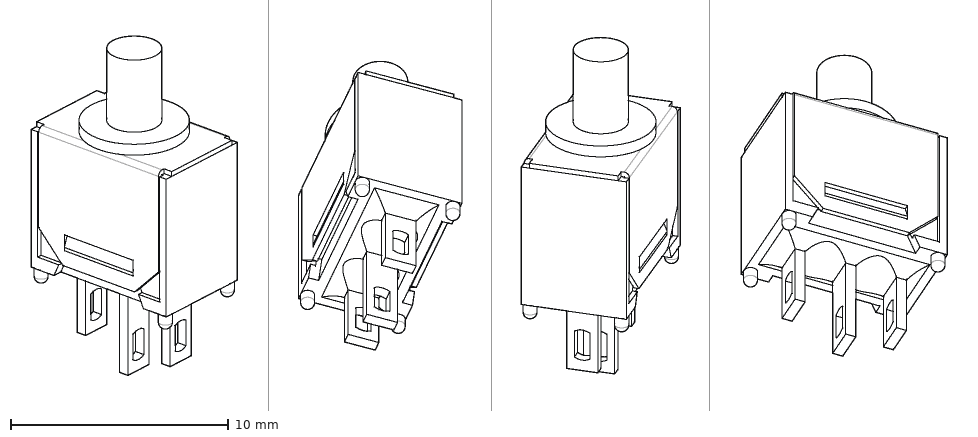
import cadquery as cq

body_length = 8.13
body_width = 5.08
housing_height = 7.05

sheet = 0.25
cover_top = housing_height + sheet
skirt_width = 7.22
skirt_bottom = 0.69
skirt_chamfer_width = 1.45
skirt_chamfer_height = 1.48
corner_notch_depth = 0.4

recess_width = 7.35
recess_bottom = 0.64

slot_width = 4.13
slot_bottom = 1.48
slot_top = 2.28
wedge_crest = 1.64

opening_depth = 0.5
opening_height = 0.98
opening_bottom_width = 5.38
opening_top_width = 4.5

standoff_diameter = 0.65
standoff_length = 0.8

flange_diameter = 5.08
flange_height = 0.55
plunger_diameter = 2.55
plunger_top = 11.55

terminal_pitch = 2.55
terminal_thickness = 0.51
terminal_width = 1.51
terminal_embed = 0.5
outer_terminal_tip = -3.6
centre_terminal_tip = outer_terminal_tip - 1.25
eye_width = 0.75
eye_length = 1.54
eye_to_tip = 0.54
eye_end_rise = 0.11

seal_drop = 0.57
seal_reach = 0.82
seal_arc_mid_out = 0.36
seal_arc_mid_drop = 0.23
seal_arch_drop = 0.1


def box(length, width, bottom, top):
    """Block centred on X and Y between two heights."""
    return cq.Workplane("XY").workplane(offset=bottom).rect(length, width).extrude(top - bottom)


def cylinder(diameter, bottom, top):
    """Round bar on the Z axis between two heights."""
    return cq.Workplane("XY").workplane(offset=bottom).circle(diameter / 2).extrude(top - bottom)


def both_sides(front):
    """A front feature together with its mirror image at the back."""
    return front.union(front.mirror("XZ"))


def terminal_pocket(x):
    """Block that a terminal fills where it sits in the housing and its seal."""
    return box(terminal_thickness, terminal_width, -seal_drop, terminal_embed).translate((x, 0, 0))


def skirt_recess():
    depth_middle = (body_width - sheet) / 2
    return box(recess_width, sheet, recess_bottom, housing_height).translate((0, -depth_middle, 0))


def snap_wedge():
    """Ramp that leans out from the recess floor to the outer face of the cover."""
    face = -body_width / 2
    return (
        cq.Workplane("YZ")
        .moveTo(face + sheet, slot_top)
        .lineTo(face, wedge_crest)
        .lineTo(face, slot_bottom)
        .lineTo(face + sheet, slot_bottom)
        .close()
        .extrude(slot_width / 2, both=True)
    )


def wall_opening():
    return (
        cq.Workplane("XZ", origin=(0, -body_width / 2, 0))
        .moveTo(-opening_bottom_width / 2, 0)
        .lineTo(opening_bottom_width / 2, 0)
        .lineTo(opening_top_width / 2, opening_height)
        .lineTo(-opening_top_width / 2, opening_height)
        .close()
        .extrude(-opening_depth)
    )


def standoff(x, y):
    """Round pin with a hemispherical end."""
    radius = standoff_diameter / 2
    dome_centre = radius - standoff_length
    dome = cq.Workplane("XY").sphere(radius).translate((0, 0, dome_centre))
    return cylinder(standoff_diameter, dome_centre, 0).union(dome).translate((x, y, 0))


def seal():
    """Meniscus: a long profile with arches between the terminals, trimmed by a cross profile."""
    half_thickness = terminal_thickness / 2
    half_width = terminal_width / 2
    outer_edge = terminal_pitch + half_thickness

    along = (
        cq.Workplane("XZ")
        .moveTo(-outer_edge - seal_reach, 0)
        .threePointArc((-outer_edge - seal_arc_mid_out, -seal_arc_mid_drop), (-outer_edge, -seal_drop))
    )
    for left in (-terminal_pitch, 0):
        along = (
            along.lineTo(left + half_thickness, -seal_drop)
            .threePointArc(
                (left + terminal_pitch / 2, -seal_arch_drop),
                (left + terminal_pitch - half_thickness, -seal_drop),
            )
        )
    along = (
        along.lineTo(outer_edge, -seal_drop)
        .threePointArc((outer_edge + seal_arc_mid_out, -seal_arc_mid_drop), (outer_edge + seal_reach, 0))
        .close()
        .extrude(body_width / 2, both=True)
    )
    across = (
        cq.Workplane("YZ")
        .moveTo(-half_width - seal_reach, 0)
        .threePointArc((-half_width - seal_arc_mid_out, -seal_arc_mid_drop), (-half_width, -seal_drop))
        .lineTo(half_width, -seal_drop)
        .threePointArc((half_width + seal_arc_mid_out, -seal_arc_mid_drop), (half_width + seal_reach, 0))
        .close()
        .extrude(body_length / 2, both=True)
    )
    return along.intersect(across)


def button():
    """Plunger stem that rises from the housing through the cover, with its flange."""
    plunger = cylinder(plunger_diameter, housing_height, plunger_top)
    flange = cylinder(flange_diameter, cover_top, cover_top + flange_height)
    return plunger.union(flange)


def make_housing():
    """Housing with its snap wedges, seal, standoffs and button, pierced for the terminals."""
    housing = box(body_length, body_width, 0, housing_height)
    housing = housing.cut(both_sides(skirt_recess()))
    housing = housing.cut(both_sides(wall_opening()))
    housing = housing.union(both_sides(snap_wedge()))
    housing = housing.union(seal())
    housing = housing.union(button())
    standoff_x = (body_length - standoff_diameter) / 2
    standoff_y = (body_width - standoff_diameter) / 2
    for x in (-standoff_x, standoff_x):
        for y in (-standoff_y, standoff_y):
            housing = housing.union(standoff(x, y))
    for x in terminal_tips:
        housing = housing.cut(terminal_pocket(x))
    return housing


def make_cover():
    """Bent sheet cover with a hole for the plunger stem."""
    cover = box(body_length, body_width, skirt_bottom, cover_top)
    cover = cover.edges("|X and >Z").fillet(sheet)
    cover = cover.cut(box(body_length, body_width - 2 * sheet, skirt_bottom, housing_height))

    side_width = (body_length - skirt_width) / 2
    side_x = (skirt_width + side_width) / 2
    side_y = (body_width - corner_notch_depth) / 2
    for x in (-side_x, side_x):
        for y in (-side_y, side_y):
            beside = box(side_width, corner_notch_depth, skirt_bottom, cover_top)
            cover = cover.cut(beside.translate((x, y, 0)))

    for side in (-1, 1):
        corner = (
            cq.Workplane("XZ")
            .moveTo(side * skirt_width / 2, skirt_bottom)
            .lineTo(side * (skirt_width / 2 - skirt_chamfer_width), skirt_bottom)
            .lineTo(side * skirt_width / 2, skirt_bottom + skirt_chamfer_height)
            .close()
            .extrude(body_width / 2, both=True)
        )
        cover = cover.cut(corner)

    cover = cover.cut(box(slot_width, body_width, slot_bottom, slot_top))

    stem_hole = cylinder(plunger_diameter, housing_height, cover_top)
    return cover.cut(stem_hole)


def make_terminal(x, tip):
    """Flat blade with an eye whose ends bow outwards."""
    half_eye = eye_width / 2
    eye_bottom = tip + eye_to_tip
    eye_top = eye_bottom + eye_length
    eye = (
        cq.Workplane("YZ")
        .moveTo(-half_eye, eye_bottom + eye_end_rise)
        .threePointArc((0, eye_bottom), (half_eye, eye_bottom + eye_end_rise))
        .lineTo(half_eye, eye_top - eye_end_rise)
        .threePointArc((0, eye_top), (-half_eye, eye_top - eye_end_rise))
        .close()
        .extrude(terminal_thickness / 2, both=True)
    )
    blade = box(terminal_thickness, terminal_width, tip, terminal_embed)
    return blade.cut(eye).translate((x, 0, 0))


terminal_tips = {
    -terminal_pitch: outer_terminal_tip,
    0: centre_terminal_tip,
    terminal_pitch: outer_terminal_tip,
}

housing = make_housing()
cover = make_cover()
terminals = [make_terminal(x, tip) for x, tip in terminal_tips.items()]

result = cq.Compound.makeCompound(
    [housing.val(), cover.val(), *[terminal.val() for terminal in terminals]]
)